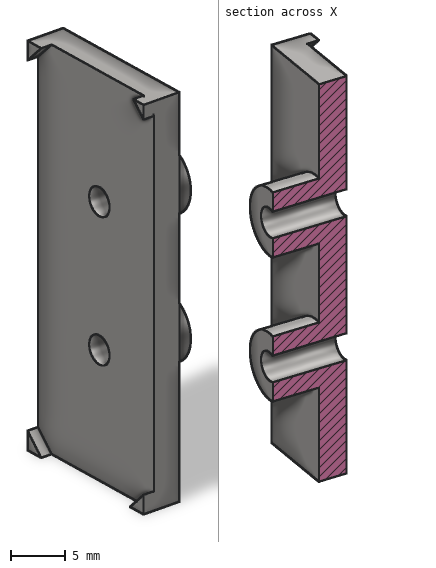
import cadquery as cq

length = 42.0
width = 17.0
thickness = 3.0

tab_height = 1.2
tab_leg = 2.0
small_tab_leg = 1.5

boss_diameter = 7.0
boss_height = 5.0
bore_diameter = 3.0
boss_spacing = 15.2
boss_offset_x = 0.5

tilt_degrees = -0.5


def corner_tab(side_x, side_z, leg):
    """Right-triangle tab at the plate corner on the given X and Z sides (+1 or -1)."""
    corner_x = side_x * width / 2
    corner_z = side_z * length / 2
    return (
        cq.Workplane("XZ")
        .moveTo(corner_x, corner_z)
        .lineTo(corner_x - side_x * leg, corner_z)
        .lineTo(corner_x, corner_z - side_z * leg)
        .close()
        .extrude(tab_height)
    )


def cylinders(diameter, height):
    """Two cylinders on the boss axes, running from the front face toward +Y."""
    centers = [(boss_offset_x, side * boss_spacing / 2) for side in (-1, 1)]
    return cq.Workplane("XZ").pushPoints(centers).circle(diameter / 2).extrude(-height)


plate = cq.Workplane("XZ").rect(width, length).extrude(-thickness)
back_y = thickness + boss_height

body = plate.union(cylinders(boss_diameter, back_y))
for side_x in (-1, 1):
    for side_z in (-1, 1):
        is_small = side_x > 0 and side_z > 0
        leg = small_tab_leg if is_small else tab_leg
        body = body.union(corner_tab(side_x, side_z, leg))

body = body.cut(cylinders(bore_diameter, back_y))

result = body.rotate((0, 0, 0), (0, 0, 1), tilt_degrees)